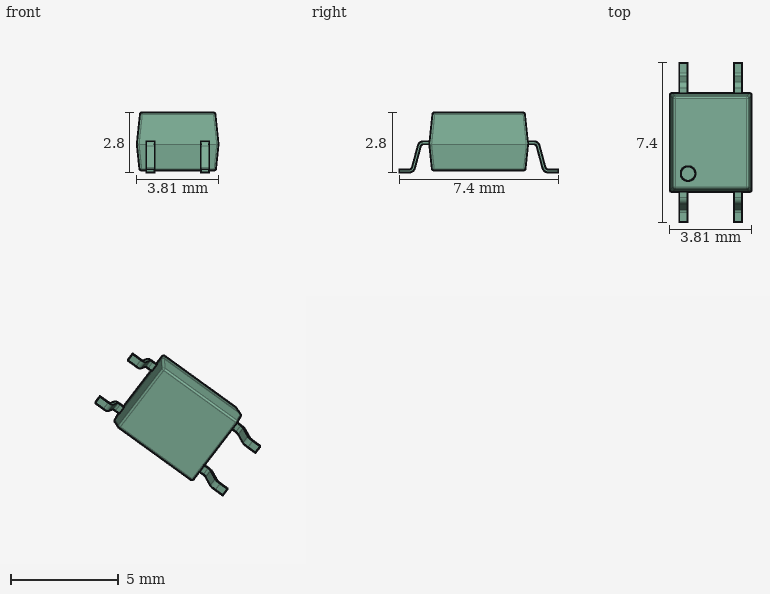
import cadquery as cq
import math

HOUSING_WIDTH = 3.81
HOUSING_LENGTH = 4.6
HOUSING_BOTTOM = 0.095
HOUSING_TOP = 2.8
PARTING_HEIGHT = 1.32
DRAFT_ANGLE = 6.0
EDGE_RADIUS = 0.1

MARK_DIAMETER = 0.7
MARK_FLOOR_DIAMETER = 0.66
MARK_DEPTH = 0.04
MARK_X = -1.05
MARK_Y = -1.44

OVERALL_LENGTH = 7.4
LEAD_WIDTH = 0.385
LEAD_THICKNESS = 0.15
LEAD_PITCH = 2.54
FOOT_LENGTH = 0.46
BEND_RADIUS = 0.15
BEND_ANGLE = 75.0


def make_housing():
    def half(height):
        return (
            cq.Workplane("XY", origin=(0, 0, PARTING_HEIGHT))
            .rect(HOUSING_WIDTH, HOUSING_LENGTH)
            .extrude(height, taper=DRAFT_ANGLE)
        )

    upper = half(HOUSING_TOP - PARTING_HEIGHT)
    lower = half(HOUSING_BOTTOM - PARTING_HEIGHT)
    body = upper.union(lower)
    slanted_corners = body.edges("not(#Z)")
    rounded = slanted_corners.add(body.edges(">Z or <Z")).fillet(EDGE_RADIUS)

    mark = (
        cq.Workplane("XY", origin=(MARK_X, MARK_Y, HOUSING_TOP - MARK_DEPTH))
        .circle(MARK_FLOOR_DIAMETER / 2)
        .workplane(offset=MARK_DEPTH)
        .circle(MARK_DIAMETER / 2)
        .loft()
    )
    return rounded.cut(mark)


def make_lead(x, housing):
    """Lead on the -Y end, swept along its centre line and ending flush on the housing face."""
    angle = math.radians(BEND_ANGLE)
    radius = BEND_RADIUS + LEAD_THICKNESS / 2
    foot_z = LEAD_THICKNESS / 2
    shoulder_z = PARTING_HEIGHT + LEAD_THICKNESS / 2

    bend_run = radius * math.sin(angle)
    bend_rise = radius * (1 - math.cos(angle))
    leg_rise = shoulder_z - foot_z - 2 * bend_rise
    leg_run = leg_rise / math.tan(angle)

    toe_y = -OVERALL_LENGTH / 2
    heel_y = toe_y + FOOT_LENGTH
    shoulder_y = heel_y + 2 * bend_run + leg_run
    inside_y = -HOUSING_LENGTH / 2 + LEAD_THICKNESS

    centre_line = (
        cq.Workplane("YZ", origin=(x, 0, 0))
        .moveTo(toe_y, foot_z)
        .lineTo(heel_y, foot_z)
        .tangentArcPoint((heel_y + bend_run, foot_z + bend_rise), relative=False)
        .lineTo(heel_y + bend_run + leg_run, shoulder_z - bend_rise)
        .tangentArcPoint((shoulder_y, shoulder_z), relative=False)
        .lineTo(inside_y, shoulder_z)
    )
    lead = (
        cq.Workplane("XZ", origin=(x, toe_y, foot_z))
        .rect(LEAD_WIDTH, LEAD_THICKNESS)
        .sweep(centre_line)
    )
    return lead.cut(housing)


housing = make_housing()

leads = []
for lead_x in (-LEAD_PITCH / 2, LEAD_PITCH / 2):
    front_lead = make_lead(lead_x, housing).val()
    leads.append(front_lead)
    leads.append(front_lead.mirror("XZ"))

result = cq.Compound.makeCompound([housing.val(), *leads])